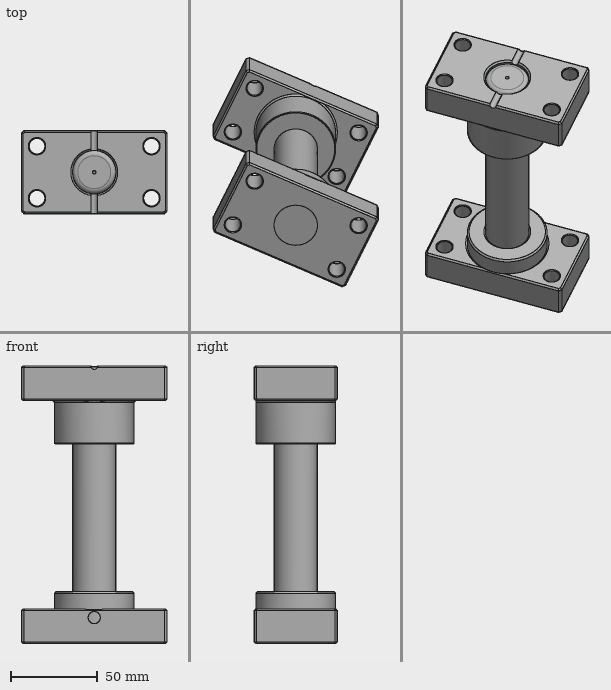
import cadquery as cq

PLATE_LENGTH = 84.0
PLATE_WIDTH = 48.0
PLATE_THICKNESS = 20.0
CORNER_CHAMFER = 1.5
EDGE_CHAMFER = 1.0

MOUNT_HOLE_DIAMETER = 9.0
MOUNT_HOLE_CHAMFER = 0.5
MOUNT_SPACING_X = 66.0
MOUNT_SPACING_Y = 30.0

OVERALL_HEIGHT = 160.1
UPPER_PLATE_BOTTOM = OVERALL_HEIGHT - PLATE_THICKNESS
COLLAR_RADIUS = 23.0
LOWER_COLLAR_HEIGHT = 10.0
LOWER_COLLAR_CHAMFER = 1.0
UPPER_COLLAR_HEIGHT = 25.0
UPPER_COLLAR_CHAMFER = 0.5
FOOT_SIZE = 1.0
POST_RADIUS = 12.5
BORE_CHAMFER = 1.0
POST_TOP_DROP = 0.5
POST_TOP_FILLET = 3.0
CENTER_MARK_RADIUS = 1.0
CENTER_MARK_DEPTH = 2.0

SCREW_HOLE_DIAMETER = 7.0
SCREW_HOLE_Z = 15.0
GROOVE_RADIUS = 2.0


def cylinder(radius, bottom, height):
    return cq.Workplane("XY").workplane(offset=bottom).circle(radius).extrude(height)


def cone(bottom_radius, top_radius, bottom, height):
    """Truncated cone on the Z axis; one radius may be zero."""
    return cq.Workplane(cq.Solid.makeCone(bottom_radius, top_radius, height, cq.Vector(0, 0, bottom)))


def plate(bottom):
    """Chamfered plate with four through holes, countersunk on both faces."""
    body = (
        cq.Workplane("XY")
        .workplane(offset=bottom)
        .rect(PLATE_LENGTH, PLATE_WIDTH)
        .extrude(PLATE_THICKNESS)
        .edges("|Z")
        .chamfer(CORNER_CHAMFER)
        .faces("<Z or >Z")
        .edges()
        .chamfer(EDGE_CHAMFER)
    )
    holes = (
        cq.Workplane("XY")
        .workplane(offset=bottom)
        .rect(MOUNT_SPACING_X, MOUNT_SPACING_Y, forConstruction=True)
        .vertices()
        .circle(MOUNT_HOLE_DIAMETER / 2)
        .extrude(PLATE_THICKNESS)
    )
    body = body.cut(holes)
    return body.faces("<Z or >Z").edges("%CIRCLE").chamfer(MOUNT_HOLE_CHAMFER)


def make_lower_holder():
    """Plate with a short collar, a V relief around its foot and a clamping screw hole."""
    collar_bottom = PLATE_THICKNESS - FOOT_SIZE
    relief = cone(COLLAR_RADIUS, COLLAR_RADIUS + FOOT_SIZE, collar_bottom, FOOT_SIZE)
    collar = (
        cylinder(COLLAR_RADIUS, collar_bottom, LOWER_COLLAR_HEIGHT + FOOT_SIZE)
        .faces(">Z")
        .edges()
        .chamfer(LOWER_COLLAR_CHAMFER)
    )
    collar_top = PLATE_THICKNESS + LOWER_COLLAR_HEIGHT
    bore = cylinder(POST_RADIUS, 0, collar_top)
    bore_chamfer = cone(POST_RADIUS, POST_RADIUS + BORE_CHAMFER, collar_top - BORE_CHAMFER, BORE_CHAMFER)
    screw_hole = (
        cq.Workplane("XZ")
        .center(0, SCREW_HOLE_Z)
        .circle(SCREW_HOLE_DIAMETER / 2)
        .extrude(PLATE_WIDTH / 2)
    )
    return plate(0).cut(relief).union(collar).cut(bore).cut(bore_chamfer).cut(screw_hole)


def make_upper_holder():
    """Plate with a long collar below, a conical foot and a lubrication groove across the top."""
    collar = (
        cylinder(COLLAR_RADIUS, UPPER_PLATE_BOTTOM - UPPER_COLLAR_HEIGHT, UPPER_COLLAR_HEIGHT)
        .faces("<Z")
        .edges()
        .chamfer(UPPER_COLLAR_CHAMFER)
    )
    foot_trim = cq.Workplane("XY").box(
        PLATE_LENGTH, PLATE_WIDTH - 2 * EDGE_CHAMFER, 2 * OVERALL_HEIGHT
    )
    foot = cone(
        COLLAR_RADIUS, COLLAR_RADIUS + FOOT_SIZE, UPPER_PLATE_BOTTOM - FOOT_SIZE, FOOT_SIZE
    ).intersect(foot_trim)
    bore = cylinder(POST_RADIUS, 0, OVERALL_HEIGHT)
    bore_chamfer = cone(
        POST_RADIUS, POST_RADIUS + BORE_CHAMFER, OVERALL_HEIGHT - BORE_CHAMFER, BORE_CHAMFER
    )
    groove = (
        cq.Workplane("XZ")
        .center(0, OVERALL_HEIGHT)
        .moveTo(-GROOVE_RADIUS, 0)
        .threePointArc((0, -GROOVE_RADIUS), (GROOVE_RADIUS, 0))
        .close()
        .extrude(PLATE_WIDTH / 2, both=True)
    )
    return plate(UPPER_PLATE_BOTTOM).union(collar).union(foot).cut(bore).cut(bore_chamfer).cut(groove)


def make_guide_post():
    """Straight round post with a rounded top end and a conical centre mark."""
    post_top = OVERALL_HEIGHT - POST_TOP_DROP
    post = cylinder(POST_RADIUS, 0, post_top).faces(">Z").edges().fillet(POST_TOP_FILLET)
    center_mark = cone(0, CENTER_MARK_RADIUS, post_top - CENTER_MARK_DEPTH, CENTER_MARK_DEPTH)
    return post.cut(center_mark)


lower_holder = make_lower_holder()
upper_holder = make_upper_holder()
guide_post = make_guide_post()

result = cq.Compound.makeCompound([lower_holder.val(), upper_holder.val(), guide_post.val()])